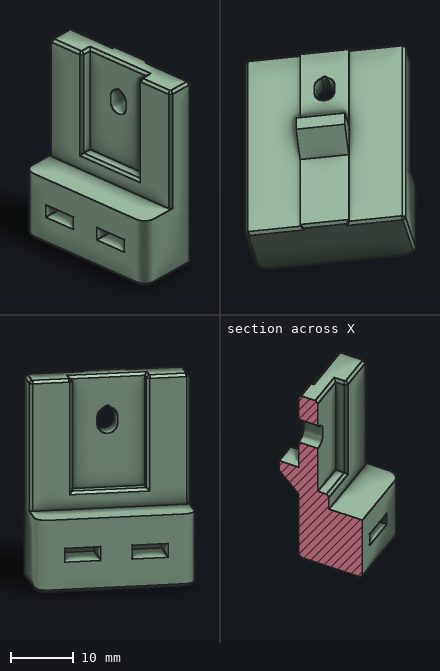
import cadquery as cq

width = 26.0
height = 33.5
edge_chamfer = 0.47

base_depth = 6.0
base_height = 12.0
base_corner_radius = 2.0
plate_thickness = 5.0
plate_back = base_depth + plate_thickness

rib_width = 7.9
rib_thickness = 0.5
rib_back = plate_back + rib_thickness
latch_reach = 3.52
latch_top = 18.55
latch_tip_height = 2.15
latch_tip_bottom = latch_top - latch_tip_height

pocket_width = 12.05
pocket_depth = 2.0
pocket_bottom = 14.9

hole_diameter = 3.3
hole_lower_center = 25.43
hole_center_spacing = 1.0
relief_diameter = 0.95
relief_center = 27.87

slot_width = 5.85
slot_height = 2.28
slot_spacing = 10.92
slot_center_height = 6.1
slot_depth = base_depth


def block(x_size, y_start, y_end, z_start, z_end):
    """Box centred on X = 0 between the given Y and Z limits."""
    return (
        cq.Workplane("XY")
        .box(x_size, y_end - y_start, z_end - z_start, centered=(True, False, False))
        .translate((0, y_start, z_start))
    )


def make_base():
    base = block(width, 0, plate_back, 0, base_height)
    base = base.edges("|Z and <Y").fillet(base_corner_radius)
    base = base.edges("|Z and >Y").chamfer(edge_chamfer)
    base = base.union(block(rib_width, base_depth, rib_back, 0, base_height))
    return base.faces("<Z").edges().chamfer(edge_chamfer)


def make_plate():
    plate = block(width, base_depth, plate_back, base_height, height)
    plate = plate.edges("|Z").chamfer(edge_chamfer)
    plate = plate.union(block(rib_width, base_depth + pocket_depth, rib_back, base_height, height))
    pocket_floor = base_depth + pocket_depth
    plate = plate.cut(block(pocket_width, base_depth, pocket_floor, pocket_bottom, height))
    half_mouth = pocket_width / 2 + edge_chamfer
    rim = cq.selectors.BoxSelector(
        (-half_mouth, base_depth - edge_chamfer, pocket_bottom - edge_chamfer),
        (half_mouth, base_depth + edge_chamfer, height - edge_chamfer),
    )
    plate = plate.edges(rim).chamfer(edge_chamfer)
    return plate.faces(">Z").edges().chamfer(edge_chamfer)


def make_latch():
    profile = [
        (plate_back, latch_top),
        (rib_back + latch_reach, latch_top),
        (rib_back + latch_reach, latch_tip_bottom),
        (rib_back, latch_tip_bottom - latch_reach),
        (plate_back, latch_tip_bottom - latch_reach),
    ]
    return cq.Workplane("YZ").polyline(profile).close().extrude(rib_width / 2, both=True)


def hole_cutter(diameter, center_height):
    return (
        cq.Workplane("XZ")
        .center(0, center_height)
        .circle(diameter / 2)
        .extrude(-rib_back)
    )


def make_hole():
    upper_center = hole_lower_center + hole_center_spacing
    middle = block(hole_diameter, 0, rib_back, hole_lower_center, upper_center)
    hole = middle.union(hole_cutter(hole_diameter, hole_lower_center))
    hole = hole.union(hole_cutter(hole_diameter, upper_center))
    return hole.union(hole_cutter(relief_diameter, relief_center))


def make_slots():
    slot = block(
        slot_width,
        0,
        slot_depth,
        slot_center_height - slot_height / 2,
        slot_center_height + slot_height / 2,
    )
    left_slot = slot.translate((-slot_spacing / 2, 0, 0))
    right_slot = slot.translate((slot_spacing / 2, 0, 0))
    return left_slot.union(right_slot)


body = make_base().union(make_plate()).union(make_latch())
result = body.cut(make_hole()).cut(make_slots()).clean()